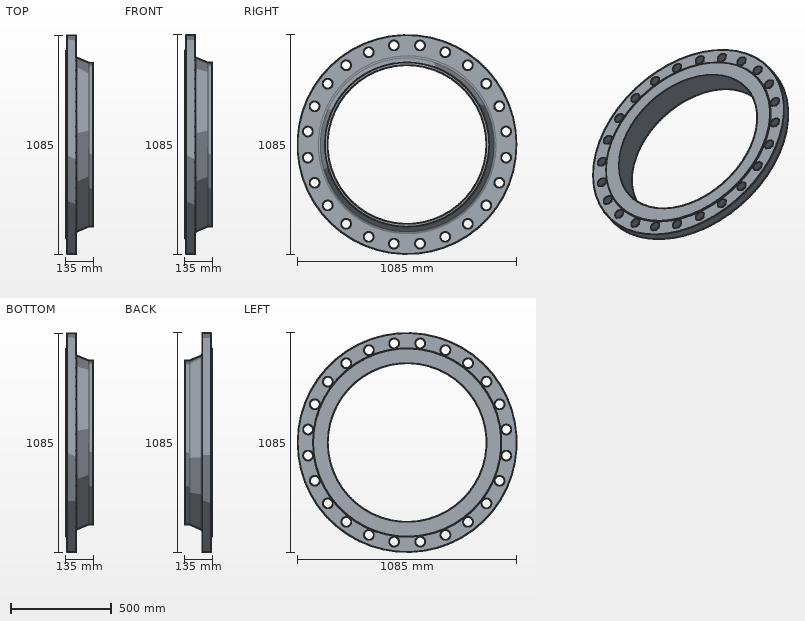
import cadquery as cq

overall_length = 135.0
flange_diameter = 1085.0
flange_back = 50.0
rim_chamfer = 1.0
raised_face_height = 5.0
raised_face_diameter = 930.0
raised_face_flare = 2.0
bore_diameter = 784.0
neck_diameter = 813.0
neck_straight_length = 22.0
hub_base_diameter = 866.0
hub_root_radius = 11.0
hub_end_radius = 9.0
bolt_circle_diameter = 990.0
bolt_hole_diameter = 48.0
bolt_count = 24

flange_radius = flange_diameter / 2
raised_face_radius = raised_face_diameter / 2
bore_radius = bore_diameter / 2
neck_radius = neck_diameter / 2
hub_end = overall_length - neck_straight_length
bolt_pitch_angle = 360 / bolt_count


def turned_body():
    """Ring revolved about X from the half section of flange, hub and neck."""
    half_section = (
        cq.Workplane("XY")
        .moveTo(0, bore_radius)
        .lineTo(0, raised_face_radius)
        .lineTo(raised_face_height, raised_face_radius + raised_face_flare)
        .lineTo(raised_face_height, flange_radius - rim_chamfer)
        .lineTo(raised_face_height + rim_chamfer, flange_radius)
        .lineTo(flange_back, flange_radius)
        .lineTo(flange_back, hub_base_diameter / 2)
        .lineTo(hub_end, neck_radius)
        .lineTo(overall_length, neck_radius)
        .lineTo(overall_length, bore_radius)
        .close()
    )
    return half_section.revolve(360, (0, 0, 0), (1, 0, 0))


def circular_edge_at(x, diameter):
    """Selector for the outer circular edge of this diameter at this X."""
    margin = 1.0
    reach = diameter / 2 + margin
    return cq.selectors.BoxSelector(
        (x - margin, -reach, -reach), (x + margin, reach, reach), boundingbox=True
    )


def bolt_holes():
    """Through holes straddling the vertical and horizontal centre lines."""
    return (
        cq.Workplane("YZ")
        .polarArray(bolt_circle_diameter / 2, bolt_pitch_angle / 2, 360, bolt_count)
        .circle(bolt_hole_diameter / 2)
        .extrude(flange_back)
    )


body = turned_body()
body = body.edges(circular_edge_at(flange_back, hub_base_diameter)).fillet(hub_root_radius)
body = body.edges(circular_edge_at(hub_end, neck_diameter)).fillet(hub_end_radius)

result = body.cut(bolt_holes())